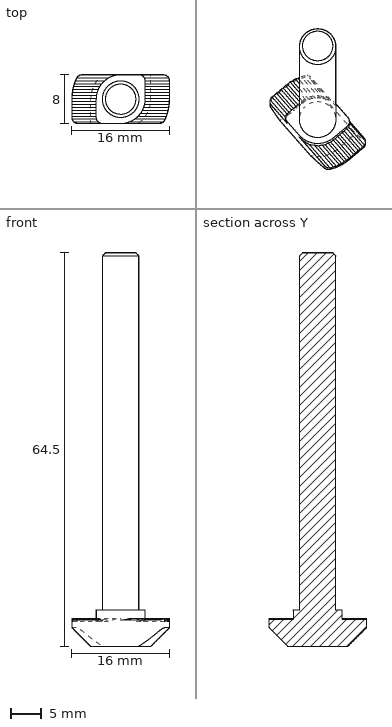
import cadquery as cq
import math

total_height = 64.5
head_length = 16.0
head_width = 8.0
head_height = 4.6
collar_top = 6.0
shaft_diameter = 6.0
tip_chamfer = 0.5

rim_height = 3.1
corner_radius = 1.0

tooth_pitch = 0.95
tooth_depth = tooth_pitch / 2
first_valley = -4.25
groove_count = 9

half_length = head_length / 2
half_width = head_width / 2
bottom_half_length = half_length - rim_height


def turn_lock_block(half_extent, bottom, top):
    """Block with square corners at (+X, +Y) and (-X, -Y) and round ends in the other quadrants."""
    arc_end_x = math.sqrt(half_extent**2 - half_width**2)
    middle_angle = math.atan2(half_width, arc_end_x) / 2
    arc_middle = (half_extent * math.cos(middle_angle), -half_extent * math.sin(middle_angle))
    return (
        cq.Workplane("XY", origin=(0, 0, bottom))
        .moveTo(half_extent, half_width)
        .lineTo(half_extent, 0)
        .threePointArc(arc_middle, (arc_end_x, -half_width))
        .lineTo(-half_extent, -half_width)
        .lineTo(-half_extent, 0)
        .threePointArc((-arc_middle[0], -arc_middle[1]), (-arc_end_x, half_width))
        .close()
        .extrude(top - bottom)
    )


def bevel_profile():
    """Half section of the head, from the shaft axis out to one end."""
    return (
        cq.Workplane("XZ")
        .moveTo(0, 0)
        .lineTo(bottom_half_length, 0)
        .lineTo(half_length, rim_height)
        .lineTo(half_length, head_height)
        .lineTo(0, head_height)
        .close()
    )


def bevelled_envelope():
    """Conical bevel all around, continued as flat bevels in the square-cornered quadrants."""
    cone = bevel_profile().revolve(360, (0, 0, 0), (0, 1, 0))
    flat_quadrant = bevel_profile().extrude(-half_width)
    opposite_quadrant = flat_quadrant.rotate((0, 0, 0), (0, 0, 1), 180)
    return cone.union(flat_quadrant).union(opposite_quadrant)


def make_head():
    block = turn_lock_block(half_length, 0, head_height)
    block = block.edges("|Z").edges(">Y or <Y").fillet(corner_radius)
    return block.intersect(bevelled_envelope())


def cut_serrations(head):
    for index in range(groove_count):
        valley = first_valley + index * tooth_pitch
        groove = (
            cq.Workplane("YZ")
            .moveTo(valley, head_height - tooth_depth)
            .lineTo(valley + tooth_pitch / 2, head_height)
            .lineTo(valley - tooth_pitch / 2, head_height)
            .close()
            .extrude(half_length, both=True)
        )
        head = head.cut(groove)
    return head


def make_collar():
    collar = turn_lock_block(half_width, head_height - tooth_depth, collar_top)
    return collar.edges("|Z").edges(">(1, 1, 0) or <(1, 1, 0)").fillet(corner_radius)


def make_shaft():
    shaft = (
        cq.Workplane("XY")
        .workplane(offset=head_height - tooth_depth)
        .circle(shaft_diameter / 2)
        .extrude(total_height - head_height + tooth_depth)
    )
    return shaft.faces(">Z").chamfer(tip_chamfer)


result = cut_serrations(make_head()).union(make_collar()).union(make_shaft())